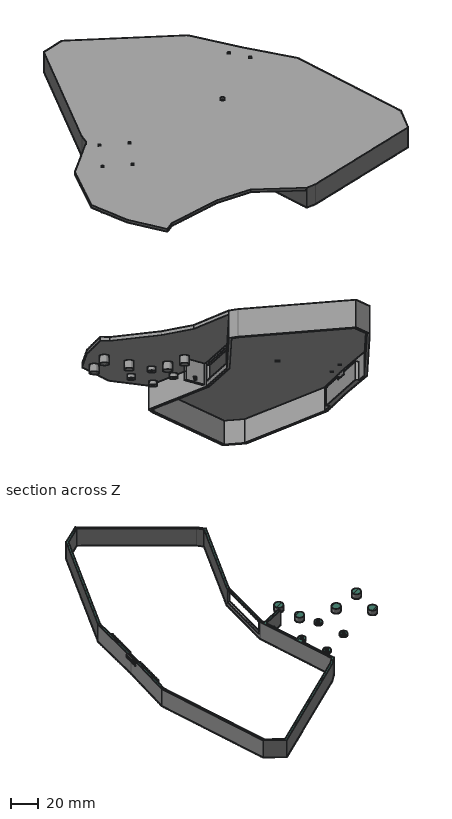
import cadquery as cq
import math

HEIGHT = 21.0
COVER_THICKNESS = 3.0
COVER_BOTTOM = HEIGHT - COVER_THICKNESS
WALL = 2.0
OVERLAP = 0.5

SIDE_TIP = (135.88, 9.2)
SIDE_SHOULDER = (126.5, 23.5)
REAR_CORNER = (41.0, 53.4)
REAR_DIP = (0.0, 52.6)
SIDE_FOOT = (87.2, -63.1)
FRONT_CORNER = (82.2, -68.0)
CENTRE_HALF_WIDTH = 21.0
REAR_SLOPE = (REAR_CORNER[1] - SIDE_SHOULDER[1]) / (SIDE_SHOULDER[0] - REAR_CORNER[0])
FRONT_SLOPE_ANGLE = math.atan(REAR_SLOPE)
CENTRE_FRONT_Y = FRONT_CORNER[1] + (FRONT_CORNER[0] - CENTRE_HALF_WIDTH) * REAR_SLOPE

OVERHANG_EDGE = [
    (-82.2, -98.4),
    (-61.8, -126.6),
    (-33.0, -133.6),
    (-2.9, -134.52),
    (-1.4, -128.1),
    (23.4, -97.7),
    (44.0, -80.6),
]

OPENING_HALF_WIDTH = 20.0
OPENING_BOTTOM = 4.0
OPENING_TOP = 16.0
LEDGE_FRONT_Y = 48.5
LEDGE_HALF_WIDTH = 30.0
LEDGE_TOP = 14.0
WINDOW_WIDTH = 11.8
WINDOW_BOTTOM = 12.0

SHORT_POST_DIAMETER = 6.0
SHORT_POST_LENGTH = 3.0
SHORT_POST_HOLE = 1.86
SHORT_POST_CENTRE = (-58.4, -74.0)
SHORT_POST_SPACING = (21.8, 21.2)
SHORT_POST_ANGLE = 21.8
TALL_POST_DIAMETER = 7.0
TALL_POST_LENGTH = 6.0
TALL_POSTS = [(-53.9, -120.2), (-37.9, -99.5), (-33.2, -120.2), (-30.8, -72.6), (-13.9, -66.0)]

PILOT_DIAMETER = 3.5
REAR_HOLE_DIAMETER = 2.1
REAR_HOLE_SPACING = 15.8
REAR_HOLE_Y = 44.6

RIB_THICKNESS = 2.0
RIB_LENGTH = 17.0
RIB_BOTTOM = 2.0
RIB_WALL_X = -24.1
RIB_HOLE_DIAMETER = 3.0
RIB_HOLE_Z = 5.0


def mirrored(point):
    return (-point[0], point[1])


def prism(points, bottom, top):
    return cq.Workplane("XY", origin=(0, 0, bottom)).polyline(points).close().extrude(top - bottom)


def block(x_range, y_range, z_range):
    size = [high - low for low, high in (x_range, y_range, z_range)]
    corner = (x_range[0], y_range[0], z_range[0])
    return cq.Workplane("XY", origin=corner).box(*size, centered=False)


def rear_and_sides():
    """Outline from the right front corner, round the rear, to the left front corner."""
    right = [FRONT_CORNER, SIDE_FOOT, SIDE_TIP, SIDE_SHOULDER, REAR_CORNER]
    left = [mirrored(point) for point in reversed(right)]
    return right + [REAR_DIP] + left


def make_walls():
    front = [(-CENTRE_HALF_WIDTH, CENTRE_FRONT_Y), (CENTRE_HALF_WIDTH, CENTRE_FRONT_Y)]
    outline = rear_and_sides() + front
    cavity = cq.Workplane("XY").polyline(outline).close().offset2D(-WALL).extrude(COVER_BOTTOM)
    return prism(outline, 0, HEIGHT).cut(cavity)


def make_cover():
    return prism(rear_and_sides() + OVERHANG_EDGE, COVER_BOTTOM, HEIGHT)


def make_ledge():
    return block(
        (-LEDGE_HALF_WIDTH, LEDGE_HALF_WIDTH),
        (LEDGE_FRONT_Y, REAR_DIP[1] - OVERLAP),
        (0, LEDGE_TOP),
    )


def front_opening():
    return block(
        (-OPENING_HALF_WIDTH, OPENING_HALF_WIDTH),
        (CENTRE_FRONT_Y - OVERLAP, CENTRE_FRONT_Y + WALL + OVERLAP),
        (OPENING_BOTTOM, OPENING_TOP),
    )


def rear_window():
    return block(
        (-WINDOW_WIDTH / 2, WINDOW_WIDTH / 2),
        (LEDGE_FRONT_Y - OVERLAP, REAR_CORNER[1] + OVERLAP),
        (WINDOW_BOTTOM, LEDGE_TOP),
    )


def make_rib():
    """Plate hanging from the cover; local -Y points forward, away from the wall."""
    wall_y = FRONT_CORNER[1] + (FRONT_CORNER[0] + RIB_WALL_X) * REAR_SLOPE
    height = COVER_BOTTOM + OVERLAP - RIB_BOTTOM
    length = RIB_LENGTH + OVERLAP
    rib = (
        cq.Workplane("XY", origin=(0, OVERLAP - length / 2, RIB_BOTTOM))
        .box(RIB_THICKNESS, length, height, centered=(True, True, False))
    )
    hole = (
        cq.Workplane("YZ", origin=(0, -RIB_LENGTH / 2, RIB_HOLE_Z))
        .circle(RIB_HOLE_DIAMETER / 2)
        .extrude(RIB_THICKNESS, both=True)
    )
    turn = math.degrees(FRONT_SLOPE_ANGLE)
    return rib.cut(hole).rotate((0, 0, 0), (0, 0, 1), turn).translate((RIB_WALL_X, wall_y, 0))


def short_post_points():
    angle = math.radians(SHORT_POST_ANGLE)
    points = []
    for x_side in (-0.5, 0.5):
        for y_side in (-0.5, 0.5):
            along = x_side * SHORT_POST_SPACING[0]
            across = y_side * SHORT_POST_SPACING[1]
            x = SHORT_POST_CENTRE[0] + along * math.cos(angle) - across * math.sin(angle)
            y = SHORT_POST_CENTRE[1] + along * math.sin(angle) + across * math.cos(angle)
            points.append((x, y))
    return points


def posts(points, diameter, length):
    bottom = COVER_BOTTOM - length
    return (
        cq.Workplane("XY", origin=(0, 0, bottom))
        .pushPoints(points)
        .circle(diameter / 2)
        .extrude(length + OVERLAP)
    )


def through_holes(points, diameter):
    return cq.Workplane("XY").pushPoints(points).circle(diameter / 2).extrude(HEIGHT)


rear_holes = [(-REAR_HOLE_SPACING / 2, REAR_HOLE_Y), (REAR_HOLE_SPACING / 2, REAR_HOLE_Y)]

result = make_walls().union(make_cover()).union(make_ledge())
result = result.cut(front_opening()).cut(rear_window())
result = result.union(make_rib())
result = result.union(posts(short_post_points(), SHORT_POST_DIAMETER, SHORT_POST_LENGTH))
result = result.cut(through_holes(short_post_points(), SHORT_POST_HOLE))
result = result.union(posts(TALL_POSTS, TALL_POST_DIAMETER, TALL_POST_LENGTH))
result = result.cut(through_holes([(0, 0)], PILOT_DIAMETER))
result = result.cut(through_holes(rear_holes, REAR_HOLE_DIAMETER))